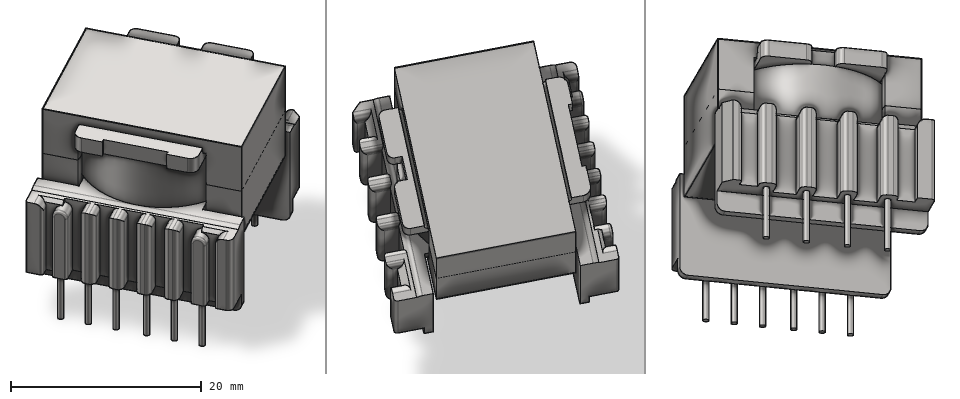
import cadquery as cq

OUTER_X = 22.75
OUTER_Y = 24.05
OUTER_Z = 23.95
half_x = OUTER_X / 2
half_y = OUTER_Y / 2

tape_t = 0.1
tape_half_x = 11.0
tape_bottom = 12.25

core_half_y = 7.45
core_half_x = tape_half_x - tape_t
core_bottom = tape_bottom + tape_t
core_top = OUTER_Z - tape_t
core_split = (core_bottom + core_top) / 2
window_bottom = 14.06
window_top = core_bottom + core_top - window_bottom
window_r = 9.5
mouth_outer_half = 7.05
mouth_inner_half = 6.95
post_r = 4.57

winding_r = 9.23
tube_r = 5.17
flange_half_x = 6.8
lower_flange_top = 15.1
upper_flange_bottom = 21.25
upper_flange_top = 22.07

tab_top = 23.1
tab_root_y = 7.85
tab_root_z = 22.6
tab_tip_y = 10.07
front_tab_r = 0.95
rear_tab_r = 0.72
recess_half_x = 3.53
recess_y = 9.65
notch_half_x = 1.32
notch_y = 8.58

wall_inner_y = 7.85
wall_top = 14.9
wall_bottom = 5.75
lip_outer_y = 8.82
lip_bottom = 3.49
lip_r = 0.87
front_wall_y = 10.17
front_slope_y = 9.23
front_root_y = 9.85
rear_wall_y = 9.85
rear_wall_edge = 14.62
rear_slope_y = 9.02
rear_root_y = 9.65

end_block_x = 9.45
end_block_top_r = 0.95
end_block_r = 0.31
front_left_r = 0.25
front_right_r = 0.65
rear_left_r = 0.35
rib_r = 0.63
front_rib_w = 1.68
front_rib_pitch = 3.05
front_rib_x = [front_rib_pitch * n for n in (-1.5, -0.5, 0.5, 1.5)]
arched_rib_x = 2.5 * front_rib_pitch
arched_rib_top = 14.45
arched_rib_edge_r = 0.3
rear_inner_rib_x = 2.2
rear_inner_rib_w = 1.78
rear_outer_rib_x = 6.56
rear_outer_rib_w = 1.88
rear_corner_chamfer = 0.95

bay_y = 10.91
front_bay_ramp = (10.48, 14.52)
rear_bay_ramp = (10.07, 14.06)

pin_r = 0.34
pin_root = 7.2
front_pin_y = -11.1
front_pin_x = [1.68, 4.74, 7.8]
rear_pin_y = 10.75
rear_pin_x = [2.2, 6.55]


def block(x0, x1, y0, y1, z0, z1):
    """Box between two opposite corners."""
    return cq.Workplane("XY").box(x1 - x0, y1 - y0, z1 - z0, centered=False).translate((x0, y0, z0))


def rounded_end(plane, x0, x1, base, tip, r0, r1):
    """Outline from base to tip whose two tip corners have radii r0 and r1."""
    outline = cq.Workplane(plane).moveTo(x0, base).lineTo(x0, tip - r0)
    if r0:
        outline = outline.tangentArcPoint((x0 + r0, tip), relative=False)
    outline = outline.lineTo(x1 - r1, tip)
    if r1:
        outline = outline.tangentArcPoint((x1, tip - r1), relative=False)
    return outline.lineTo(x1, base).close()


def post(x0, x1, root_y, side_r, top_r):
    """Upright rib facing +Y: rounded outer corners seen from above, rounded top seen from +Y."""
    plan = rounded_end("XY", x0, x1, root_y, half_y, *side_r).extrude(OUTER_Z)
    elevation = rounded_end("XZ", x0, x1, wall_bottom, wall_top, *top_r).extrude(-OUTER_Y)
    return plan.intersect(elevation)


def plain_rib(x, width, root_y):
    """Rib facing +Y with all its outer corners rounded alike."""
    return post(x - width / 2, x + width / 2, root_y, (rib_r, rib_r), (rib_r, rib_r))


def arched_rib(x, root_y):
    """Rib facing +Y with a semicircular top and a rounded rim on its outer face."""
    r = front_rib_w / 2
    spring = arched_rib_top - r
    outline = (
        cq.Workplane("XZ", origin=(0, root_y, 0))
        .moveTo(x - r, wall_bottom)
        .lineTo(x - r, spring)
        .threePointArc((x, arched_rib_top), (x + r, spring))
        .lineTo(x + r, wall_bottom)
        .close()
    )
    rib = outline.extrude(root_y - half_y)
    return rib.faces(">Y").edges("not(|X)").fillet(arched_rib_edge_r)


def wall(outer_y, slope_y, slope_end):
    """Terminal wall on the +Y side with a curved step at the top and a rounded lip below."""
    profile = (
        cq.Workplane("YZ")
        .moveTo(wall_inner_y, lip_bottom)
        .lineTo(wall_inner_y, lower_flange_top)
        .lineTo(slope_y, lower_flange_top)
        .tangentArcPoint(slope_end, relative=False)
    )
    if slope_end[0] < outer_y:
        profile = profile.lineTo(outer_y, slope_end[1])
    profile = (
        profile.lineTo(outer_y, wall_bottom)
        .lineTo(lip_outer_y, wall_bottom)
        .lineTo(lip_outer_y, lip_bottom)
        .close()
    )
    body = profile.extrude(half_x, both=True)
    return body.edges("|Y and <Z").edges("<X or >X").fillet(lip_r)


def end_bay(x0, x1, root_y, ramp):
    """Thickened stretch of wall on the +Y side whose top slopes down to its outer face."""
    ramp_y, ramp_z = ramp
    profile = [
        (root_y, wall_bottom),
        (root_y, wall_top),
        (ramp_y, wall_top),
        (bay_y, ramp_z),
        (bay_y, wall_bottom),
    ]
    return cq.Workplane("YZ").polyline(profile).close().extrude(x1 - x0).translate((x0, 0, 0))


def end_details(root_y, bay_end_x, ramp, left_r, right_r):
    """End blocks and end bays at both ends of a wall on the +Y side; each block's radii run from -X to +X."""
    left = post(-half_x, -end_block_x, root_y, left_r, (0, end_block_top_r))
    right = post(end_block_x, half_x, root_y, right_r, (end_block_top_r, 0))
    left_bay = end_bay(-end_block_x - end_block_top_r, -bay_end_x, root_y, ramp)
    right_bay = end_bay(bay_end_x, end_block_x + end_block_top_r, root_y, ramp)
    return left.union(right).union(left_bay).union(right_bay)


def front_terminal():
    """Wall with six ribs, modelled facing +Y and mirrored to the -Y side."""
    body = wall(front_wall_y, front_slope_y, (front_root_y, wall_top))
    left_r = (front_left_r, end_block_r)
    right_r = (end_block_r, front_right_r)
    body = body.union(end_details(front_root_y, arched_rib_x, front_bay_ramp, left_r, right_r))
    for x in front_rib_x:
        body = body.union(plain_rib(x, front_rib_w, front_root_y))
    for x in (-arched_rib_x, arched_rib_x):
        body = body.union(arched_rib(x, front_root_y))
    return body.mirror("XZ")


def rear_terminal():
    """Wall with four ribs; a large corner chamfer marks the +X end."""
    body = wall(rear_wall_y, rear_slope_y, (rear_wall_y, rear_wall_edge))
    left_r = (rear_left_r, 0)
    right_r = (end_block_r, 0)
    body = body.union(end_details(rear_root_y, rear_outer_rib_x, rear_bay_ramp, left_r, right_r))
    for side in (-1, 1):
        body = body.union(plain_rib(side * rear_inner_rib_x, rear_inner_rib_w, rear_root_y))
        body = body.union(plain_rib(side * rear_outer_rib_x, rear_outer_rib_w, rear_root_y))
    corner = [
        (half_x, half_y),
        (half_x - rear_corner_chamfer, half_y),
        (half_x, half_y - rear_corner_chamfer),
    ]
    return body.cut(cq.Workplane("XY").polyline(corner).close().extrude(OUTER_Z))


def flange_plate(bottom, top, reach_y):
    """Spool flange: a disc as wide as the winding plus a strip reaching out through the core mouths."""
    strip = block(-flange_half_x, flange_half_x, -reach_y, reach_y, bottom, top)
    disc = cq.Workplane("XY").workplane(offset=bottom).circle(winding_r).extrude(top - bottom)
    return disc.intersect(window(bottom, top)).union(strip)


def tab_blank():
    """Square-cornered tab of the upper flange on the +Y side."""
    profile = [
        (core_half_y, upper_flange_bottom),
        (core_half_y, upper_flange_top),
        (tab_root_y, tab_root_z),
        (tab_root_y, tab_top),
        (tab_tip_y, tab_top),
        (tab_tip_y, upper_flange_bottom),
    ]
    return cq.Workplane("YZ").polyline(profile).close().extrude(flange_half_x, both=True)


def front_tab():
    """Round-cornered tab with a wide shallow recess in its outer face, on the -Y side."""
    recess = block(-recess_half_x, recess_half_x, recess_y, half_y, 0, OUTER_Z)
    return tab_blank().edges("|Z and >Y").fillet(front_tab_r).cut(recess).mirror("XZ")


def rear_tab():
    """Tab split by a central notch, with rounded corners at its ends and at the notch."""
    notch = block(-notch_half_x, notch_half_x, notch_y, half_y, 0, OUTER_Z)
    return tab_blank().cut(notch).edges("|Z and >Y").fillet(rear_tab_r)


def window(bottom, top):
    """Winding space of the core: a round chamber opening through a slightly flared mouth at each end."""
    mouth_depth_y = (window_r**2 - mouth_inner_half**2) ** 0.5
    mouth = [
        (-mouth_outer_half, core_half_y),
        (mouth_outer_half, core_half_y),
        (mouth_inner_half, mouth_depth_y),
        (mouth_inner_half, 0),
        (-mouth_inner_half, 0),
        (-mouth_inner_half, mouth_depth_y),
    ]
    height = top - bottom
    base = cq.Workplane("XY").workplane(offset=bottom)
    rear_mouth = base.polyline(mouth).close().extrude(height)
    chamber = base.circle(window_r).extrude(height)
    depth = block(-half_x, half_x, -mouth_depth_y, mouth_depth_y, bottom, top)
    return chamber.intersect(depth).union(rear_mouth).union(rear_mouth.mirror("XZ"))


def core_half(bottom, top):
    """Half of the core: the wrapped block less the winding window, plus the round centre post."""
    slab = block(-core_half_x, core_half_x, -core_half_y, core_half_y, bottom, top)
    centre_post = cq.Workplane("XY").workplane(offset=bottom).circle(post_r).extrude(top - bottom)
    return slab.cut(window(window_bottom, window_top)).union(centre_post)


def make_tape():
    """Closed band around the core with rounded outer corners."""
    outside = block(-tape_half_x, tape_half_x, -core_half_y, core_half_y, tape_bottom, OUTER_Z)
    inside = block(-core_half_x, core_half_x, -core_half_y, core_half_y, core_bottom, core_top)
    return outside.edges("|Y").fillet(tape_t).cut(inside)


def make_winding():
    """Cylindrical coil between the two flanges."""
    ring = cq.Workplane("XY").workplane(offset=lower_flange_top).circle(winding_r).circle(tube_r)
    return ring.extrude(upper_flange_bottom - lower_flange_top)


def make_bobbin():
    """Spool with its flanges, terminal walls and moulded-in pins."""
    tube = cq.Workplane("XY").workplane(offset=window_bottom).circle(tube_r)
    body = tube.extrude(upper_flange_top - window_bottom)
    body = body.union(flange_plate(window_bottom, lower_flange_top, wall_inner_y))
    body = body.union(flange_plate(upper_flange_bottom, upper_flange_top, core_half_y))
    body = body.cut(cq.Workplane("XY").circle(post_r).extrude(OUTER_Z))
    for part in (front_tab(), rear_tab(), front_terminal(), rear_terminal()):
        body = body.union(part)
    for row_x, row_y in ((front_pin_x, front_pin_y), (rear_pin_x, rear_pin_y)):
        places = [(side * x, row_y) for x in row_x for side in (-1, 1)]
        body = body.union(cq.Workplane("XY").pushPoints(places).circle(pin_r).extrude(pin_root))
    return body


lower_core = core_half(core_bottom, core_split)
upper_core = core_half(core_split, core_top)
tape = make_tape()
winding = make_winding()
bobbin = make_bobbin()

bodies = (lower_core, upper_core, tape, winding, bobbin)
result = cq.Compound.makeCompound([body.solids().val() for body in bodies])